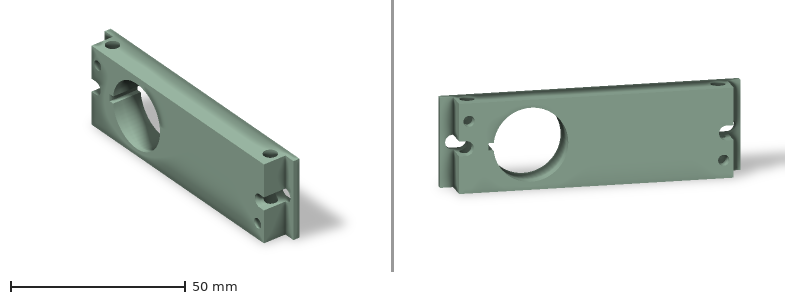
import cadquery as cq

length = 88.5
depth = 10.0
height = 26.8

flange_length = 3.8
flange_thickness = 2.2

bore_diameter = 22.0
bore_x = -19.3
key_width = 2.4
key_reach = 12.6

slot_length = 6.6
slot_width = 4.4
slot_x = 39.5

pin_diameter = 3.3
pin_x = 37.5
pin_z = 8.05

cross_hole_diameter = 4.4
cross_hole_x = 37.0
cross_hole_y = depth / 2


def front_plane(x=0.0, z=0.0):
    """Sketch plane on the front face whose normal points into the part (+Y)."""
    plane = cq.Plane(origin=(x, 0, z), xDir=(1, 0, 0), normal=(0, 1, 0))
    return cq.Workplane(plane)


def make_body():
    block_length = length - 2 * flange_length
    block = front_plane().rect(block_length, height).extrude(depth)
    flange = front_plane().rect(length, height).extrude(flange_thickness)
    return block.union(flange.translate((0, depth - flange_thickness, 0)))


def make_keyed_bore():
    bore = front_plane(bore_x).circle(bore_diameter / 2).extrude(depth)
    key = front_plane(bore_x - key_reach / 2).rect(key_reach, key_width).extrude(depth)
    return bore.union(key)


def make_end_cutters(side):
    """Slot, small hole and vertical hole for one end; side is -1 or +1."""
    slot = front_plane(side * slot_x).slot2D(slot_length, slot_width).extrude(depth)
    pin = front_plane(side * pin_x, -side * pin_z).circle(pin_diameter / 2).extrude(depth)
    cross_hole = (
        cq.Workplane("XY", origin=(side * cross_hole_x, cross_hole_y, -height / 2))
        .circle(cross_hole_diameter / 2)
        .extrude(height)
    )
    return [slot, pin, cross_hole]


result = make_body().cut(make_keyed_bore())
for side in (-1, 1):
    for cutter in make_end_cutters(side):
        result = result.cut(cutter)